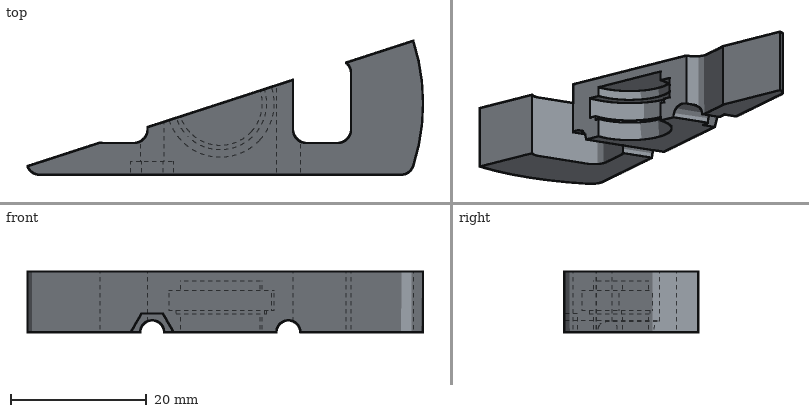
import cadquery as cq
import math

length = 58.35
width = 19.8
thickness = 9.0

slope_angle = 18.0
slope = math.tan(math.radians(slope_angle))
disc_radius = length / (1 + math.cos(math.radians(slope_angle)))
center_x = length - disc_radius
center_y = width - disc_radius * math.sin(math.radians(slope_angle))
corner_radius = 2.0

window_near = 10.75
window_far = 19.25
window_bottom = 4.7
window_top = 17.0

shaft_radius = 6.2
bearing_radius = 7.95
shoulder_radius = 6.85
shoulder_z = 2.7
bearing_floor = 3.2
bearing_top = 6.2
bore_top = 7.55

channel_offset = 10.05
channel_diameter = 3.5
nut_flats = 5.5
nut_depth = 2.0


def body():
    half_base = math.sqrt(disc_radius**2 - center_y**2)
    segment = (
        cq.Workplane("XY")
        .moveTo(center_x - half_base, 0)
        .lineTo(center_x + half_base, 0)
        .threePointArc((center_x, center_y + disc_radius), (center_x - half_base, 0))
        .close()
        .extrude(thickness)
        .edges("|Z")
        .fillet(corner_radius)
    )
    reach = 2 * disc_radius
    above_slope = (
        cq.Workplane("XY")
        .moveTo(center_x - reach, center_y - reach * slope)
        .lineTo(center_x + reach, center_y + reach * slope)
        .lineTo(center_x + reach, center_y + reach)
        .lineTo(center_x - reach, center_y + reach)
        .close()
        .extrude(thickness)
    )
    return segment.cut(above_slope)


def window(side):
    return (
        cq.Workplane("XY")
        .center(center_x + side * (window_near + window_far) / 2, (window_bottom + window_top) / 2)
        .rect(window_far - window_near, window_top - window_bottom)
        .extrude(thickness)
        .edges("|Z")
        .fillet(corner_radius)
    )


def stepped_bore():
    profile = [
        (0, 0),
        (shaft_radius, 0),
        (shaft_radius, shoulder_z),
        (shoulder_radius, shoulder_z),
        (shoulder_radius, bearing_floor),
        (bearing_radius, bearing_floor),
        (bearing_radius, bearing_top),
        (shaft_radius, bearing_top),
        (shaft_radius, bore_top),
        (0, bore_top),
    ]
    return (
        cq.Workplane("XZ")
        .polyline(profile)
        .close()
        .revolve(360, (0, 0, 0), (0, 1, 0))
        .translate((center_x, center_y, 0))
    )


def channel(side):
    return (
        cq.Workplane("XZ")
        .center(center_x + side * channel_offset, 0)
        .circle(channel_diameter / 2)
        .extrude(-width)
    )


def nut_recess():
    across_corners = nut_flats / math.cos(math.radians(30))
    return (
        cq.Workplane("XZ")
        .center(center_x - channel_offset, 0)
        .polygon(6, across_corners)
        .extrude(-nut_depth)
    )


result = body().cut(stepped_bore()).cut(nut_recess())
for side in (-1, 1):
    result = result.cut(window(side)).cut(channel(side))